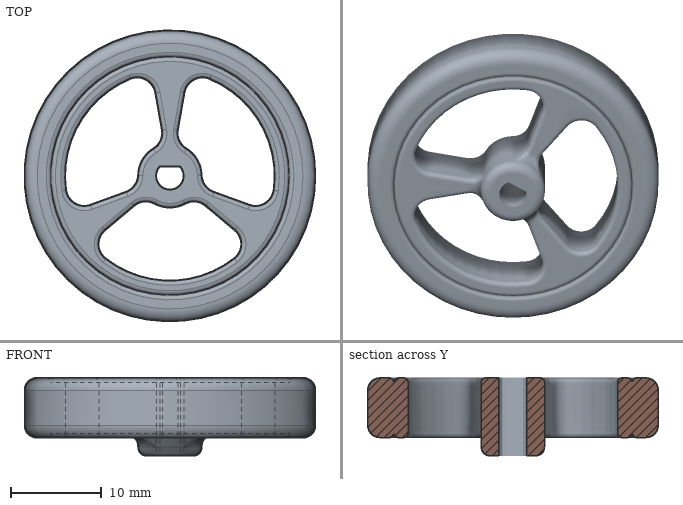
import cadquery as cq
import math

wheel_radius = 16.0
wheel_width = 6.6
tread_fillet = 1.4

groove_radius = 13.1
edge_fillet = 0.5

boss_radius = 3.5
boss_fillet = 1.0
boss_height = 2 * boss_fillet
full_height = wheel_width + boss_height

bore_radius = 1.5
bore_flat_offset = 1.0

spoke_count = 3
spoke_half_angle = 10.0
window_outer_radius = 11.5
window_corner_radius = 2.0
spoke_root_radius = 2.0

spoke_pitch = 360.0 / spoke_count
first_spoke_angle = 90.0
first_window_angle = first_spoke_angle + spoke_pitch / 2
window_half_angle = spoke_pitch / 2 - spoke_half_angle


def polar(radius, angle):
    """Point at a radius and an angle in degrees, measured from the +X axis."""
    return (radius * math.cos(math.radians(angle)), radius * math.sin(math.radians(angle)))


def mirrored(point):
    """Point reflected across the X axis."""
    return (point[0], -point[1])


def make_wheel():
    """Solid wheel with a rounded tread and a boss blending into its lower face."""
    disc = cq.Workplane("XY").circle(wheel_radius).extrude(wheel_width)
    disc = disc.edges().fillet(tread_fillet)
    boss = (
        cq.Workplane("XZ")
        .moveTo(0, 0)
        .lineTo(boss_radius + boss_fillet, 0)
        .radiusArc((boss_radius, -boss_fillet), -boss_fillet)
        .radiusArc((boss_radius - boss_fillet, -boss_height), boss_fillet)
        .lineTo(0, -boss_height)
        .close()
        .revolve(360, (0, 0), (0, 1))
    )
    return disc.union(boss)


def make_groove():
    """Cusp-shaped ring cutter for the top face."""
    return (
        cq.Workplane("XZ")
        .moveTo(groove_radius - edge_fillet, wheel_width)
        .radiusArc((groove_radius, wheel_width - edge_fillet), edge_fillet)
        .radiusArc((groove_radius + edge_fillet, wheel_width), edge_fillet)
        .close()
        .revolve(360, (0, 0), (0, 1))
    )


def make_window():
    """Window prism centred on the +X axis, through the full height of the part."""
    corner_centre_radius = window_outer_radius - window_corner_radius
    corner_swing = math.degrees(math.asin(window_corner_radius / corner_centre_radius))
    root_centre_radius = boss_radius + spoke_root_radius
    root_swing = math.degrees(math.asin(spoke_root_radius / root_centre_radius))

    side_start = polar(math.sqrt(root_centre_radius**2 - spoke_root_radius**2), window_half_angle)
    side_end = polar(math.sqrt(corner_centre_radius**2 - window_corner_radius**2), window_half_angle)
    hub_end = polar(boss_radius, window_half_angle - root_swing)
    rim_end = polar(window_outer_radius, window_half_angle - corner_swing)

    return (
        cq.Workplane("XY")
        .workplane(offset=-boss_height)
        .moveTo(*mirrored(hub_end))
        .threePointArc((boss_radius, 0), hub_end)
        .radiusArc(side_start, spoke_root_radius)
        .lineTo(*side_end)
        .radiusArc(rim_end, window_corner_radius)
        .threePointArc((window_outer_radius, 0), mirrored(rim_end))
        .radiusArc(mirrored(side_end), window_corner_radius)
        .lineTo(*mirrored(side_start))
        .radiusArc(mirrored(hub_end), spoke_root_radius)
        .close()
        .extrude(full_height)
    )


def make_bore():
    """Cutter for the D-shaped bore through the hub, with its flat on the +Y side."""
    bore = cq.Workplane("XY").workplane(offset=-boss_height).circle(bore_radius).extrude(full_height)
    flat_side = (
        cq.Workplane("XY")
        .workplane(offset=-boss_height)
        .center(0, bore_flat_offset + bore_radius)
        .rect(2 * bore_radius, 2 * bore_radius)
        .extrude(full_height)
    )
    return bore.cut(flat_side)


def cut_windows(wheel):
    """Cut the windows between the spokes and round their rims on both faces."""
    window = make_window()
    for index in range(spoke_count):
        angle = first_window_angle + index * spoke_pitch
        wheel = wheel.cut(window.rotate((0, 0, 0), (0, 0, 1), angle))
    spoke_edges = wheel.edges("%LINE and #Z")
    return spoke_edges.fillet(edge_fillet)


top_groove = make_groove()
bottom_groove = top_groove.mirror("XY", (0, 0, wheel_width / 2))

result = cut_windows(make_wheel())
result = result.cut(top_groove).cut(bottom_groove).cut(make_bore())